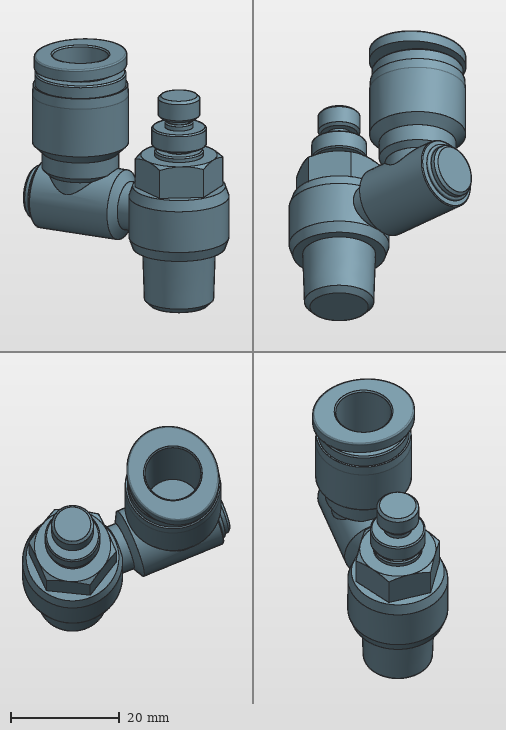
import cadquery as cq
import math

THREAD_TOP = 11.0
BODY_TOP = 22.85
HEX_TOP = 28.9
OVERALL_HEIGHT = 45.5

SMALL_CHAMFER = 0.27

THREAD_TIP_RADIUS = 6.4
THREAD_CHAMFER = 1.05
THREAD_TAPER = 1 / 32
BODY_RADIUS = 9.25
BODY_END_RADIUS = 8.55
BODY_BEVEL_HEIGHT = 1.95
HEX_ACROSS_FLATS = 14.05
HEX_CHAMFER_ANGLE = 30.0

WASHER_RADIUS = 4.5
WASHER_TOP = 29.85
STEM_RADIUS = 2.6
STEM_TOP = 35.45
STEM_TIP_RADIUS = 2.2
LOCKNUT_RADIUS = 5.05
LOCKNUT_BOTTOM = 30.8
LOCKNUT_TOP = 34.35
KNOB_RADIUS = 3.85
KNOB_BOTTOM = 36.25
KNOB_TOP = 40.4
KNOB_CHAMFER = 0.5

BARREL_RADIUS = 6.5
BARREL_AXIS_Z = THREAD_TOP + BARREL_RADIUS
BARREL_LEFT = -27.65
BARREL_RIGHT = -11.6
BARREL_NECK_RADIUS = 4.5
BARREL_CONE_LENGTH = 1.15
BARREL_CHAMFER = 0.2
PLUG_LEFT = -29.75
PLUG_RADIUS = 4.9
PLUG_CHAMFER = 0.5
RING_LEFT = -28.5
RING_RADIUS = 5.5

PORT_X = -20.2
PORT_ROOT_RADIUS = 6.0
PORT_ROOT_TOP = 22.5
PORT_NECK_RADIUS = 7.1
PORT_NECK_BOTTOM = 23.55
PORT_NECK_TOP = 26.7
SHELL_RADIUS = 8.85
SHELL_TOP = 37.75
BAND_TOP = 39.68
BAND_TOP_RADIUS = 8.75
CAP_RADIUS = 8.4
CAP_TOP = 42.05
SLEEVE_RADIUS = 6.0
COLLAR_BOTTOM = 43.25
COLLAR_WIDTH_X = 16.6
COLLAR_WIDTH_Y = 19.0
COLLAR_ROUNDING = 0.27
BORE_RADIUS = 5.15
SHELL_BOTTOM = PORT_NECK_TOP + SHELL_RADIUS - PORT_NECK_RADIUS


def turned(profile):
    """Revolve (radius, height) points, closed along the axis, around Z."""
    bottom = profile[0][1]
    top = profile[-1][1]
    outline = [(0, bottom)] + profile + [(0, top)]
    return cq.Workplane("XZ").polyline(outline).close().revolve(360, (0, 0), (0, 1))


def disc(radius, bottom, top, bottom_chamfer=0.0, top_chamfer=0.0):
    """Solid disc on the Z axis with optional 45 degree edge chamfers."""
    part = cq.Workplane("XY").workplane(offset=bottom).circle(radius).extrude(top - bottom)
    if bottom_chamfer:
        part = part.faces("<Z").chamfer(bottom_chamfer)
    if top_chamfer:
        part = part.faces(">Z").chamfer(top_chamfer)
    return part


def valve_body():
    thread_top_radius = THREAD_TIP_RADIUS + THREAD_TAPER * (THREAD_TOP - THREAD_CHAMFER)
    return turned([
        (THREAD_TIP_RADIUS - THREAD_CHAMFER, 0),
        (THREAD_TIP_RADIUS, THREAD_CHAMFER),
        (thread_top_radius, THREAD_TOP),
        (BODY_END_RADIUS, THREAD_TOP),
        (BODY_RADIUS, THREAD_TOP + BODY_BEVEL_HEIGHT),
        (BODY_RADIUS, BODY_TOP - BODY_BEVEL_HEIGHT),
        (BODY_END_RADIUS, BODY_TOP),
    ])


def hexagon():
    """Hexagon with corners on +/-Y, its top corners cut by a cone."""
    corner_diameter = HEX_ACROSS_FLATS / math.cos(math.pi / 6)
    corner_radius = corner_diameter / 2
    flat_radius = HEX_ACROSS_FLATS / 2
    corner_drop = (corner_radius - flat_radius) * math.tan(math.radians(HEX_CHAMFER_ANGLE))
    prism = (
        cq.Workplane("XY").workplane(offset=BODY_TOP)
        .transformed(rotate=(0, 0, 90))
        .polygon(6, corner_diameter)
        .extrude(HEX_TOP - BODY_TOP)
    )
    envelope = turned([
        (corner_radius, BODY_TOP),
        (corner_radius, HEX_TOP - corner_drop),
        (flat_radius, HEX_TOP),
    ])
    return prism.intersect(envelope)


def adjuster():
    washer = disc(WASHER_RADIUS, HEX_TOP, WASHER_TOP, top_chamfer=SMALL_CHAMFER)
    stem = disc(STEM_RADIUS, HEX_TOP, STEM_TOP, top_chamfer=SMALL_CHAMFER)
    stem_tip = disc(STEM_TIP_RADIUS, STEM_TOP, KNOB_BOTTOM)
    locknut = disc(LOCKNUT_RADIUS, LOCKNUT_BOTTOM, LOCKNUT_TOP, SMALL_CHAMFER, SMALL_CHAMFER)
    knob = disc(KNOB_RADIUS, KNOB_BOTTOM, KNOB_TOP, KNOB_CHAMFER, KNOB_CHAMFER)
    return washer.union(stem).union(stem_tip).union(locknut).union(knob)


def barrel():
    """Horizontal barrel with its end plug, half-round ring and neck into the body."""
    ring_rounding = (BARREL_LEFT - RING_LEFT) / 2
    ring_inner = RING_RADIUS - ring_rounding
    outline = (
        cq.Workplane("XZ")
        .moveTo(PLUG_LEFT, 0)
        .lineTo(PLUG_LEFT, PLUG_RADIUS - PLUG_CHAMFER)
        .lineTo(PLUG_LEFT + PLUG_CHAMFER, PLUG_RADIUS)
        .lineTo(RING_LEFT, PLUG_RADIUS)
        .lineTo(RING_LEFT, ring_inner)
        .threePointArc((RING_LEFT + ring_rounding, RING_RADIUS), (BARREL_LEFT, ring_inner))
        .lineTo(BARREL_LEFT, BARREL_RADIUS - BARREL_CHAMFER)
        .lineTo(BARREL_LEFT + BARREL_CHAMFER, BARREL_RADIUS)
        .lineTo(BARREL_RIGHT, BARREL_RADIUS)
        .lineTo(BARREL_RIGHT + BARREL_CONE_LENGTH, BARREL_NECK_RADIUS)
        .lineTo(0, BARREL_NECK_RADIUS)
        .lineTo(0, 0)
        .close()
    )
    return outline.revolve(360, (0, 0), (1, 0)).translate((0, 0, BARREL_AXIS_Z))


def tube_port():
    shell = turned([
        (PORT_ROOT_RADIUS, BARREL_AXIS_Z),
        (PORT_ROOT_RADIUS, PORT_ROOT_TOP),
        (PORT_NECK_RADIUS, PORT_NECK_BOTTOM),
        (PORT_NECK_RADIUS, PORT_NECK_TOP),
        (SHELL_RADIUS, SHELL_BOTTOM),
        (SHELL_RADIUS, SHELL_TOP),
        (BAND_TOP_RADIUS, BAND_TOP),
        (CAP_RADIUS, BAND_TOP),
        (CAP_RADIUS, CAP_TOP - SMALL_CHAMFER),
        (CAP_RADIUS - SMALL_CHAMFER, CAP_TOP),
        (SLEEVE_RADIUS, CAP_TOP),
        (SLEEVE_RADIUS, COLLAR_BOTTOM),
    ])
    collar = (
        cq.Workplane("XY").workplane(offset=COLLAR_BOTTOM)
        .ellipse(COLLAR_WIDTH_X / 2, COLLAR_WIDTH_Y / 2)
        .extrude(OVERALL_HEIGHT - COLLAR_BOTTOM)
        .faces(">Z").edges().fillet(COLLAR_ROUNDING)
    )
    bore = turned([
        (BORE_RADIUS, SHELL_BOTTOM),
        (BORE_RADIUS, OVERALL_HEIGHT - SMALL_CHAMFER),
        (BORE_RADIUS + SMALL_CHAMFER, OVERALL_HEIGHT),
    ])
    return shell.union(collar).cut(bore).translate((PORT_X, 0, 0))


valve = valve_body().union(hexagon()).union(adjuster())
result = valve.union(barrel()).union(tube_port())